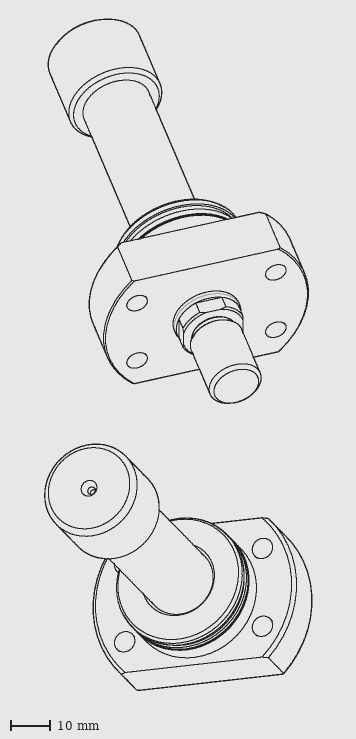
import cadquery as cq
import math


overall_length = 125.0

head_diameter = 25.0
head_length = 20.5
head_front_chamfer = 1.5
head_rear_chamfer = 1.0
rod_diameter = 18.0
rod_end = 101.0
rod_taper_length = 1.0
rod_taper_angle = 15.0
rod_tip_diameter = rod_diameter - 2 * rod_taper_length * math.tan(math.radians(rod_taper_angle))

drill_diameter = 2.0
countersink_diameter = 4.25
countersink_angle = 60.0
drill_depth = 4.0
drill_tip_angle = 120.0

flats_across = 16.0
flats_end = 105.0
flats_chamfer = 0.5
neck_root_diameter = 11.3
neck_root_length = 0.5
neck_diameter = 12.0
neck_end = 107.0
shank_diameter = 14.0
shank_start_chamfer = 0.6
shank_end_chamfer = 1.0

spigot_start = 72.5
spigot_diameter = 34.0
spigot_chamfer_length = 1.0
spigot_chamfer_depth = 0.7
plate_start = 85.0
plate_end = 99.0
plate_diameter = 55.0
plate_height = 38.0
plate_front_chamfer = 1.0
plate_rear_chamfer = 0.4
seal_groove_start = 75.0
seal_groove_width = 1.9
seal_groove_depth = 0.6
line_groove_start = 78.6
line_groove_width = 0.4
line_groove_depth = 0.2
lead_in_diameter = 19.6
lead_in_depth = 1.4
bolt_hole_diameter = 5.5
bolt_spacing_y = 37.2
bolt_spacing_z = 21.2


def cylinder(start, end, diameter):
    """Solid cylinder along X."""
    return cq.Workplane("YZ", origin=(start, 0, 0)).circle(diameter / 2).extrude(end - start)


def cone(start, end, start_diameter, end_diameter):
    """Solid cone along X, pointed where a diameter is zero."""
    return cq.Workplane(cq.Solid.makeCone(
        start_diameter / 2, end_diameter / 2, end - start,
        pnt=cq.Vector(start, 0, 0), dir=cq.Vector(1, 0, 0)))


def cone_length(diameter, included_angle):
    """Height of a pointed cone with the given base and point angle."""
    return diameter / 2 / math.tan(math.radians(included_angle / 2))


def make_center_hole():
    drill = cylinder(0, drill_depth, drill_diameter)
    tip_end = drill_depth + cone_length(drill_diameter, drill_tip_angle)
    tip = cone(drill_depth, tip_end, drill_diameter, 0)
    countersink = cone(0, cone_length(countersink_diameter, countersink_angle), countersink_diameter, 0)
    return drill.union(tip).union(countersink)


def make_rod():
    head = cylinder(0, head_length, head_diameter)
    head = head.faces("<X").chamfer(head_front_chamfer)
    head = head.faces(">X").chamfer(head_rear_chamfer)
    taper_start = rod_end - rod_taper_length
    shaft = cylinder(head_length, taper_start, rod_diameter)
    taper = cone(taper_start, rod_end, rod_diameter, rod_tip_diameter)
    return head.union(shaft).union(taper).cut(make_center_hole())


def make_stud():
    flats_length = flats_end - rod_end
    square = cq.Workplane("YZ", origin=(rod_end, 0, 0)).rect(flats_across, flats_across)
    base = cylinder(rod_end, flats_end, rod_tip_diameter).faces(">X").chamfer(flats_chamfer)
    base = base.intersect(square.extrude(flats_length))
    neck_start = flats_end + neck_root_length
    neck_root = cone(flats_end, neck_start, neck_root_diameter, neck_diameter)
    neck = cylinder(neck_start, neck_end, neck_diameter)
    shank = cylinder(neck_end, overall_length, shank_diameter)
    shank = shank.faces("<X").chamfer(shank_start_chamfer)
    shank = shank.faces(">X").chamfer(shank_end_chamfer)
    return base.union(neck_root).union(neck).union(shank)


def make_plate():
    plate = cylinder(plate_start, plate_end, plate_diameter)
    plate = plate.faces("<X").chamfer(plate_front_chamfer)
    plate = plate.faces(">X").chamfer(plate_rear_chamfer)
    plate_length = plate_end - plate_start
    flat_sides = cq.Workplane("YZ", origin=(plate_start, 0, 0)).rect(plate_diameter, plate_height)
    plate = plate.intersect(flat_sides.extrude(plate_length))
    bolt_centers = cq.Workplane("YZ", origin=(plate_start, 0, 0)).rect(
        bolt_spacing_y, bolt_spacing_z, forConstruction=True).vertices()
    return plate.cut(bolt_centers.circle(bolt_hole_diameter / 2).extrude(plate_length))


def make_spigot_groove(start, width, depth):
    outside = cylinder(start, start + width, spigot_diameter)
    return outside.cut(cylinder(start, start + width, spigot_diameter - 2 * depth))


def make_spigot():
    chamfer_end = spigot_start + spigot_chamfer_length
    tip_diameter = spigot_diameter - 2 * spigot_chamfer_depth
    spigot = cone(spigot_start, chamfer_end, tip_diameter, spigot_diameter)
    spigot = spigot.union(cylinder(chamfer_end, plate_start, spigot_diameter))
    spigot = spigot.cut(make_spigot_groove(seal_groove_start, seal_groove_width, seal_groove_depth))
    return spigot.cut(make_spigot_groove(line_groove_start, line_groove_width, line_groove_depth))


def make_flange():
    bore = cylinder(spigot_start, plate_end, rod_diameter)
    lead_in = cone(spigot_start, spigot_start + lead_in_depth, lead_in_diameter, rod_diameter)
    return make_plate().union(make_spigot()).cut(bore).cut(lead_in)


rod = make_rod()
stud = make_stud()
flange = make_flange()
result = cq.Compound.makeCompound([rod.val(), stud.val(), flange.val()])